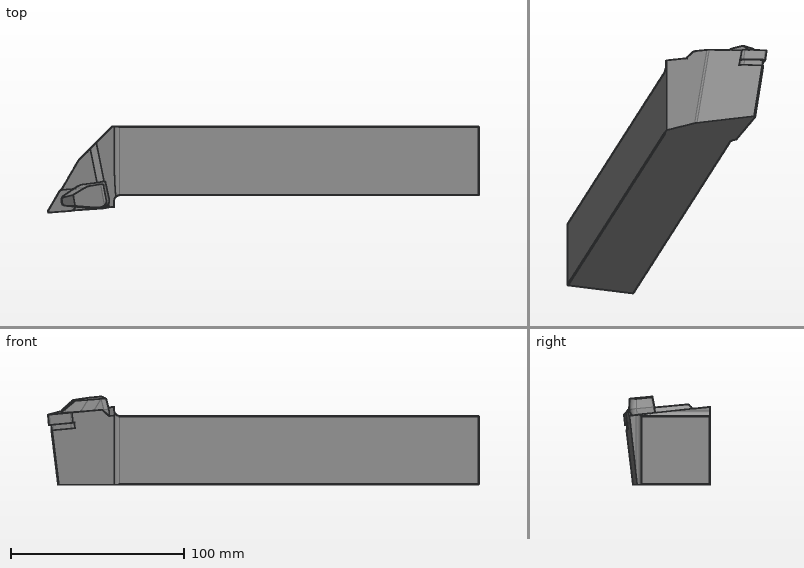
import cadquery as cq
import math


overall_length = 249.3
shank_size = 40.0
shank_chamfer = 0.5
tip_overhang = 10.0

head_back_x = 38.5
cove_radius = 3.0
front_flank_angle = 4.5
insert_angle = 55.0
front_relief = 0.11
side_relief = 0.045
head_corner_x = 0.2
head_corner_inset_y = 0.2
head_bevel = 1.2
miter_bevel = 0.7
miter_angle = 45.0
miter_offset = 2.7
head_stock_top = 50.9

tip_height = 40.5
seat_slope_x = 0.085
seat_slope_y = 0.11
ridge_x = 24.5
ridge_y = 27.5
ridge_lean = 0.2
groove_run = 3.7
groove_depth = 4.0

insert_edge = 15.5
insert_thickness = 6.0
insert_nose_radius = 0.7
insert_side_radius = 3.2
shim_thickness = 3.2
shim_setback = 0.7
shim_side_radius = 5.0
shim_pocket_radius = 0.7

clamp_height = 6.2
clamp_nose_height = 1.0
clamp_lean = 0.17
clamp_slope_start = 9.5
clamp_slope_end = 17.0
clamp_rear_x = 35.7
clamp_rear_fillet = 2.0
clamp_foot = [
    (8.0, 9.0, 2.2),
    (8.0, 4.2, 2.2),
    (22.7, 2.7, 49.9),
    (36.2, 3.5, 3.2),
    (33.2, 18.0, 1.0),
    (18.5, 16.2, 10.0),
]
clamp_top = [
    (10.0, 7.7, 0.7),
    (10.0, 5.2, 0.7),
    (27.5, 3.7, 49.9),
    (35.0, 4.2, 3.2),
    (32.7, 17.5, 1.0),
    (23.5, 16.0, 10.0),
]

clearance = 74.8

side_flank_angle = front_flank_angle + insert_angle
head_end_x = head_back_x + cove_radius
seat = cq.Plane(
    origin=(0, -tip_overhang, tip_height),
    xDir=(1, 0, seat_slope_x),
    normal=(-seat_slope_x, -seat_slope_y, 1),
)


def direction(angle):
    """Unit vector in the plane at an angle from +X."""
    return cq.Vector(math.cos(math.radians(angle)), math.sin(math.radians(angle)), 0)


def crossing(point_a, dir_a, point_b, dir_b):
    """Point where two lines of the plane cross."""
    gap = point_b - point_a
    travel = (gap.x * dir_b.y - gap.y * dir_b.x) / (dir_a.x * dir_b.y - dir_a.y * dir_b.x)
    return point_a + dir_a * travel


def rounded_outline(workplane, corners):
    """Closed outline from (x, y, radius) corners, each rounded by a tangent arc."""
    arcs = []
    for i, (x, y, radius) in enumerate(corners):
        corner = cq.Vector(x, y, 0)
        before = cq.Vector(*corners[i - 1][:2], 0)
        after = cq.Vector(*corners[(i + 1) % len(corners)][:2], 0)
        to_before = (before - corner).normalized()
        to_after = (after - corner).normalized()
        half_angle = to_before.getAngle(to_after) / 2
        setback = radius / math.tan(half_angle)
        middle = (to_before + to_after).normalized() * (radius / math.sin(half_angle) - radius)
        arcs.append((corner + to_before * setback, corner + middle, corner + to_after * setback))
    outline = workplane.moveTo(arcs[0][2].x, arcs[0][2].y)
    for start, middle, end in arcs[1:] + arcs[:1]:
        outline = outline.lineTo(start.x, start.y)
        outline = outline.threePointArc((middle.x, middle.y), (end.x, end.y))
    return outline.close()


def make_shank():
    shank = cq.Workplane("XY").box(
        overall_length - head_end_x, shank_size, shank_size, centered=False
    )
    shank = shank.edges("|X or >X").chamfer(shank_chamfer)
    return shank.translate((head_end_x, 0, 0))


def head_outline(height):
    """Corners of the head at a height; both flanks lean inward below the tip."""
    depth = tip_height - height
    front = direction(front_flank_angle)
    side = direction(side_flank_angle)
    sharp = cq.Vector(head_corner_x, head_corner_inset_y - tip_overhang, 0)
    front_point = sharp + cq.Vector(-front.y, front.x, 0) * (front_relief * depth)
    side_point = sharp + cq.Vector(side.y, -side.x, 0) * (side_relief * depth)
    corner = crossing(front_point, front, side_point, side)
    miter = crossing(side_point, side, cq.Vector(0, miter_offset, 0), direction(miter_angle))
    front_end = crossing(corner, front, cq.Vector(head_end_x, 0, 0), cq.Vector(0, 1, 0))
    miter_end = crossing(miter, direction(miter_angle), cq.Vector(0, shank_size, 0), cq.Vector(1, 0, 0))
    points = [
        corner + front * head_bevel,
        front_end,
        cq.Vector(head_end_x, shank_size, 0),
        miter_end,
        miter + direction(miter_angle) * miter_bevel,
        miter - side * miter_bevel,
        corner + side * head_bevel,
    ]
    return [(point.x, point.y) for point in points]


def make_head_stock():
    return (
        cq.Workplane("XY")
        .polyline(head_outline(0)).close()
        .workplane(offset=head_stock_top)
        .polyline(head_outline(head_stock_top)).close()
        .loft(ruled=True)
    )


def make_top_cutter():
    """Removes everything above the sloped head top."""
    return cq.Workplane(seat).rect(4 * clearance, 4 * clearance).extrude(clearance)


def make_groove_cutter():
    """Cuts a ramp down from the ridge and lowers the top behind it."""
    ridge_z = tip_height + seat_slope_x * ridge_x + seat_slope_y * (ridge_y + tip_overhang)
    along = cq.Vector(-ridge_lean, 1, seat_slope_y - ridge_lean * seat_slope_x)
    across = along.cross(seat.zDir)
    section = cq.Plane(origin=(ridge_x, ridge_y, ridge_z), xDir=across, normal=-along)
    upward = math.copysign(1, section.yDir.dot(seat.zDir))
    profile = [
        (0, 0),
        (groove_run, -groove_depth * upward),
        (clearance, -groove_depth * upward),
        (clearance, clearance * upward),
        (0, clearance * upward),
    ]
    return cq.Workplane(section).polyline(profile).close().extrude(clearance, both=True)


def cove_section(plane_name, shank_face, outward):
    """Region behind the head wall, outside one shank face, with a concave corner."""
    center_height = shank_face + outward * cove_radius
    sag = cove_radius * math.sqrt(0.5)
    far = shank_face + outward * clearance
    return (
        cq.Workplane(plane_name)
        .moveTo(head_back_x, far)
        .lineTo(head_back_x, center_height)
        .threePointArc((head_end_x - sag, center_height - outward * sag), (head_end_x, shank_face))
        .lineTo(head_end_x + clearance, shank_face)
        .lineTo(head_end_x + clearance, far)
        .close()
        .extrude(clearance, both=True)
    )


def rhombus(depth, edge, setback, side_radius):
    """Rhombic outline at a depth below the seat; setback draws its two outer flanks inward."""
    front = direction(front_flank_angle)
    side = direction(side_flank_angle)
    middle = direction(front_flank_angle + insert_angle / 2)
    half_sine = math.sin(math.radians(insert_angle / 2))
    nose_gap = insert_nose_radius / half_sine
    nose_center = cq.Vector(insert_nose_radius, insert_nose_radius, 0)
    tip = nose_center - middle * nose_gap + middle * (setback / half_sine)
    points = [tip, tip + front * edge, tip + (front + side) * edge, tip + side * edge]
    radii = [insert_nose_radius, side_radius, insert_nose_radius, side_radius]
    corners = [(point.x, point.y, radius) for point, radius in zip(points, radii)]
    return rounded_outline(cq.Workplane(seat).workplane(offset=-depth), corners)


def make_insert():
    outline = rhombus(insert_thickness, insert_edge, 0, insert_side_radius)
    return outline.extrude(insert_thickness)


def make_shim():
    shim_edge = insert_edge - shim_setback / math.sin(math.radians(insert_angle))
    bottom = insert_thickness + shim_thickness
    return rhombus(bottom, shim_edge, shim_setback, shim_side_radius).extrude(shim_thickness)


def make_shim_pocket():
    bottom = insert_thickness + shim_thickness
    return rhombus(bottom, insert_edge, 0, shim_pocket_radius).extrude(shim_thickness)


def clamp_outline(height, corners):
    """Rounded outline of the clamp at a height above the seat."""
    return rounded_outline(cq.Workplane(seat).workplane(offset=height), corners)


def make_clamp_blank():
    """Drafted clamp from the seat up to its flat top."""
    foot = clamp_outline(0, clamp_foot).wires().val()
    top = clamp_outline(clamp_height, clamp_top).wires().val()
    return cq.Workplane(cq.Solid.makeLoft([foot, top], True))


def make_clamp_profile():
    """Side profile with the nose ramp and the rounded rear top edge, swept along the clamp rear."""
    along = seat.yDir - seat.xDir * clamp_lean
    across = along.cross(seat.zDir)
    section = cq.Plane(origin=seat.origin, xDir=across, normal=-along)
    bend = clamp_rear_fillet * (1 - math.sqrt(0.5))
    return (
        cq.Workplane(section)
        .moveTo(0, 0)
        .lineTo(0, clamp_nose_height)
        .lineTo(clamp_slope_start, clamp_nose_height)
        .lineTo(clamp_slope_end, clamp_height)
        .lineTo(clamp_rear_x - clamp_rear_fillet, clamp_height)
        .threePointArc(
            (clamp_rear_x - bend, clamp_height - bend),
            (clamp_rear_x, clamp_height - clamp_rear_fillet),
        )
        .lineTo(clearance, clamp_height - clamp_rear_fillet)
        .lineTo(clearance, 0)
        .close()
        .extrude(clearance, both=True)
    )


def make_clamp():
    """Clamp on the seat, with a heel reaching down into the groove."""
    heel = clamp_outline(0, clamp_foot).extrude(-groove_depth)
    return make_clamp_blank().intersect(make_clamp_profile()).union(heel)


insert = make_insert()

head = make_head_stock()
head = head.cut(make_top_cutter())
head = head.cut(make_groove_cutter())
head = head.cut(cove_section("XZ", shank_size, 1))
head = head.cut(cove_section("XY", 0, -1))

holder = head.union(make_shank()).union(make_clamp())
holder = holder.cut(insert).cut(make_shim_pocket()).union(make_shim())

result = cq.Compound.makeCompound([*holder.solids().vals(), insert.val()])